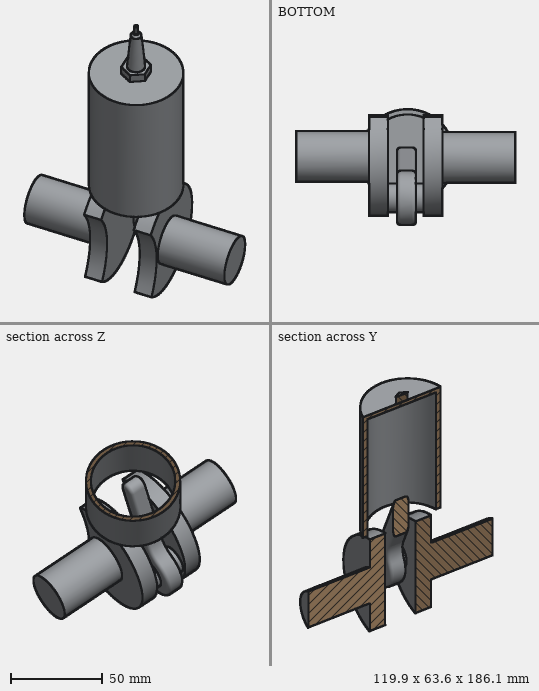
import cadquery as cq
import math


shaft_diameter = 28.0
shaft_length = 40.0
right_shaft_offset = 0.5
web_radius = 32.5
web_thickness = 10.2
web_gap = 19.5
cutout_radius = 42.3
cutout_depth_y = 14.9
cutout_tilt = 1.3
web_inner_x = web_gap / 2
web_outer_x = web_inner_x + web_thickness

pin_diameter = 16.0
pin_y = 22.7
pin_z = -1.7

rod_thickness = 10.5
rod_center_x = 0.4
big_end_radius = 14.9
shank_width = 9.7
neck_radius = 14.9
rod_edge_radius = 2.0
rod_top_z = 53.6

cylinder_center_x = 1.0
cylinder_diameter = 52.0
bore_diameter = 46.0
cylinder_bottom_z = 34.6
cylinder_height = 84.1
head_thickness = (cylinder_diameter - bore_diameter) / 2
cylinder_top_z = cylinder_bottom_z + cylinder_height

overall_height = 186.1
plug_tip_z = overall_height - web_radius
hex_flats = 14.1
hex_height = 5.0
insulator_base_diameter = 10.0
insulator_top_diameter = 6.0
insulator_height = 23.0
shoulder_height = 1.9
shoulder_chamfer = 1.3
terminal_diameter = 2.0


def cylinder_along_x(start_x, length, diameter, y=0.0, z=0.0):
    return cq.Workplane("YZ", origin=(start_x, y, z)).circle(diameter / 2).extrude(length)


def make_crank_half(side, shaft_y):
    """One web and its shaft; side is -1 for the left half and +1 for the right half."""
    tilt = math.radians(cutout_tilt)
    cutout_distance = cutout_depth_y + cutout_radius
    web = cylinder_along_x(side * web_inner_x, side * web_thickness, 2 * web_radius)
    cutout = cylinder_along_x(
        side * web_inner_x,
        side * web_thickness,
        2 * cutout_radius,
        y=-cutout_distance * math.cos(tilt),
        z=-cutout_distance * math.sin(tilt),
    )
    shaft = cylinder_along_x(side * web_outer_x, side * shaft_length, shaft_diameter, y=shaft_y)
    return web.cut(cutout).union(shaft)


def make_crank_pin():
    return cylinder_along_x(-web_inner_x, web_gap, pin_diameter, y=pin_y, z=pin_z)


def make_connecting_rod():
    """Rod drawn upright with its big end at the origin, then leaned over and moved to the pin."""
    length = math.hypot(pin_y, rod_top_z - pin_z)
    lean = math.degrees(math.atan2(pin_y, rod_top_z - pin_z))
    half_width = shank_width / 2

    neck_center_v = half_width + neck_radius
    center_distance = big_end_radius + neck_radius
    neck_center_u = math.sqrt(center_distance**2 - neck_center_v**2)
    blend_v = neck_center_v * big_end_radius / center_distance
    blend_u = neck_center_u * big_end_radius / center_distance
    neck_mid_angle = math.atan2(neck_center_u, neck_center_v) / 2
    neck_mid_v = neck_center_v - neck_radius * math.cos(neck_mid_angle)
    neck_mid_u = neck_center_u - neck_radius * math.sin(neck_mid_angle)

    rod = (
        cq.Workplane("YZ", origin=(-rod_thickness / 2, 0, 0))
        .moveTo(blend_v, blend_u)
        .threePointArc((neck_mid_v, neck_mid_u), (half_width, neck_center_u))
        .lineTo(half_width, length)
        .threePointArc((0, length + half_width), (-half_width, length))
        .lineTo(-half_width, neck_center_u)
        .threePointArc((-neck_mid_v, neck_mid_u), (-blend_v, blend_u))
        .threePointArc((0, -big_end_radius), (blend_v, blend_u))
        .close()
        .extrude(rod_thickness)
        .faces("<X or >X")
        .edges()
        .fillet(rod_edge_radius)
    )
    pin_hole = cylinder_along_x(-rod_thickness / 2, rod_thickness, pin_diameter)
    return (
        rod.cut(pin_hole)
        .rotate((0, 0, 0), (1, 0, 0), lean)
        .translate((rod_center_x, pin_y, pin_z))
    )


def make_cylinder():
    base = cq.Workplane("XY", origin=(cylinder_center_x, 0, cylinder_bottom_z))
    bore = base.circle(bore_diameter / 2).extrude(cylinder_height - head_thickness)
    return base.circle(cylinder_diameter / 2).extrude(cylinder_height).cut(bore)


def make_spark_plug():
    hex_corners = hex_flats / math.cos(math.radians(30))
    hexagon = (
        cq.Workplane("XY")
        .polygon(6, hex_corners)
        .extrude(hex_height)
        .rotate((0, 0, 0), (0, 0, 1), 30)
    )
    base_radius = insulator_base_diameter / 2
    top_radius = insulator_top_diameter / 2
    terminal_radius = terminal_diameter / 2
    insulator_top = hex_height + insulator_height
    shoulder_top = insulator_top + shoulder_height
    terminal_top = plug_tip_z - cylinder_top_z
    stem = (
        cq.Workplane("XZ")
        .moveTo(0, hex_height)
        .lineTo(base_radius, hex_height)
        .lineTo(top_radius, insulator_top)
        .lineTo(top_radius - shoulder_chamfer, shoulder_top)
        .lineTo(terminal_radius, shoulder_top)
        .lineTo(terminal_radius, terminal_top)
        .lineTo(0, terminal_top)
        .close()
        .revolve(360, (0, 0, 0), (0, 1, 0))
    )
    return hexagon.union(stem).translate((cylinder_center_x, 0, cylinder_top_z))


crank_halves = [
    make_crank_half(side, shaft_y).val()
    for side, shaft_y in ((-1, 0.0), (1, right_shaft_offset))
]
crank_pin = make_crank_pin()
connecting_rod = make_connecting_rod()
cylinder = make_cylinder()
spark_plug = make_spark_plug()

result = cq.Compound.makeCompound([
    *crank_halves,
    crank_pin.val(),
    connecting_rod.val(),
    cylinder.val(),
    spark_plug.val(),
])